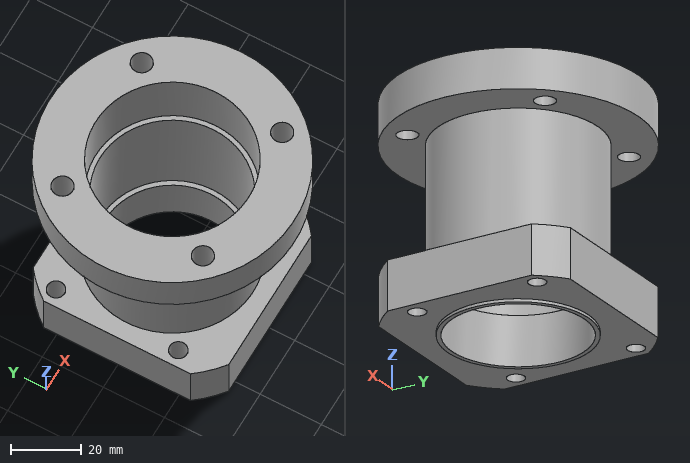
import cadquery as cq

total_height = 72.0
pilot_height = 1.0
base_height = 16.0
flange_height = 13.0

flange_diameter = 80.0
body_diameter = 53.0
base_width = 64.0
base_corner_diameter = 80.0
pilot_diameter = 46.8

through_diameter = 44.0
middle_diameter = 47.0
mouth_diameter = 50.0
mouth_depth = 20.0
middle_depth = 56.0

flange_hole_diameter = 6.6
flange_hole_spacing = 45.9

base_hole_diameter = 5.5
base_hole_spacing_x = 54.0
base_hole_spacing_y = 40.0
base_hole_shift_y = 2.8

base_top = pilot_height + base_height
flange_bottom = total_height - flange_height


def cylinder(diameter, bottom, top):
    """Cylinder on the Z axis between two heights."""
    return cq.Workplane("XY").workplane(offset=bottom).circle(diameter / 2).extrude(top - bottom)


def hole_pattern(diameter, spacing_x, spacing_y, shift_y, bottom, top):
    """Four vertical drills at the corners of a rectangle."""
    return (
        cq.Workplane("XY", origin=(0, shift_y, bottom))
        .rect(spacing_x, spacing_y, forConstruction=True)
        .vertices()
        .circle(diameter / 2)
        .extrude(top - bottom)
    )


base = (
    cq.Workplane("XY")
    .workplane(offset=pilot_height)
    .rect(base_width, base_width)
    .extrude(base_height)
    .intersect(cylinder(base_corner_diameter, pilot_height, base_top))
)

outside = (
    cylinder(body_diameter, pilot_height, total_height)
    .union(base)
    .union(cylinder(pilot_diameter, 0, base_top))
    .union(cylinder(flange_diameter, flange_bottom, total_height))
)

bored = (
    outside.cut(cylinder(through_diameter, 0, total_height))
    .cut(cylinder(middle_diameter, total_height - middle_depth, total_height))
    .cut(cylinder(mouth_diameter, total_height - mouth_depth, total_height))
)

flange_holes = hole_pattern(
    flange_hole_diameter, flange_hole_spacing, flange_hole_spacing, 0, flange_bottom, total_height
)
base_holes = hole_pattern(
    base_hole_diameter, base_hole_spacing_x, base_hole_spacing_y, base_hole_shift_y, pilot_height, base_top
)

result = bored.cut(flange_holes).cut(base_holes)